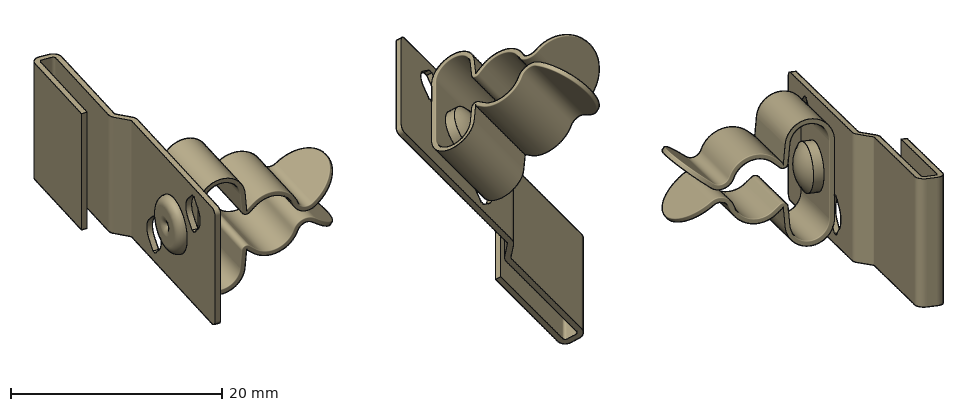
import cadquery as cq
import math


half_diagonal = math.sqrt(0.5)
same_point_distance = 3.2e-07

bracket_length = 32.0
bracket_height = 13.0
sheet_thickness = 0.6
inner_bend_radius = 0.3
outer_bend_radius = inner_bend_radius + sheet_thickness
hook_lip_end = 10.88
hook_depth = 2.8
jog_depth = 1.5
jog_start = 12.15
jog_end = 14.17
plate_corner_radius = 0.6

slot_radius = 1.55
slot_half_height = 1.95
slot_offset_x = 4.2
slot_offset_z = 3.52

clip_thickness = 0.5
clip_width = 8.0
clip_edge_radius = 0.1
loop_radius = 2.5
loop_centre_z = 3.95
pinch_y = 5.15
pinch_z = 2.25
grip_radius = 3.0
grip_centre_y = 7.77
grip_centre_z = 0.5
neck_radius = 1.0
neck_centre_z = 1.9
neck_centre_y = grip_centre_y + math.sqrt(
    (grip_radius + neck_radius) ** 2 - (neck_centre_z - grip_centre_z) ** 2
)
tab_end_y = 15.35
tab_end_z = 3.5

rivet_x = 23.1
shank_radius = 2.5
shank_end_y = 1.57
dome_height = 0.95
head_radius = 2.95
head_height = 0.9
dimple_radius = 1.02


def bent_sheet_profile(plane, bends, thickness):
    """Closed profile of a sheet that runs tangent from bend to bend.

    Each bend is (u, v, radius): its centre and the radius of the sheet's left face there. The radius is
    negative where the centre lies on the left of the sheet. Radius 0 is a sharp corner of the left face,
    and the first and last bends are the free ends of the left face.
    """
    normals = []
    for (u0, v0, r0), (u1, v1, r1) in zip(bends, bends[1:]):
        distance = math.hypot(u1 - u0, v1 - v0)
        heading = math.atan2(v1 - v0, u1 - u0)
        normals.append(heading + math.acos(min((r0 - r1) / distance, 1)))

    def face_arcs(inset):
        arcs = []
        for index, (u, v, radius) in enumerate(bends):
            angle_in = normals[max(index - 1, 0)]
            angle_out = normals[min(index, len(normals) - 1)]
            angles = (angle_in, (angle_in + angle_out) / 2, angle_out)
            reach = radius - inset
            arcs.append([(u + reach * math.cos(a), v + reach * math.sin(a)) for a in angles])
        return arcs

    left_face = face_arcs(0)
    right_face = [arc[::-1] for arc in reversed(face_arcs(thickness))]
    position = left_face[0][0]
    profile = cq.Workplane(plane).moveTo(*position)
    for start, middle, end in left_face[1:] + right_face:
        if math.dist(position, start) > same_point_distance:
            profile = profile.lineTo(*start)
        if math.dist(start, end) > same_point_distance:
            profile = profile.threePointArc(middle, end)
        position = end
    return profile.close()


def make_slot_cutter(x, z):
    """Cylinder with 45 degree tangent points above and below, cut off flat at the slot height."""
    tangent = slot_radius * half_diagonal
    tip_half_width = slot_radius / half_diagonal - slot_half_height
    plane = cq.Plane(origin=(x, 0, z), xDir=(1, 0, 0), normal=(0, -1, 0))
    return (
        cq.Workplane(plane)
        .moveTo(-tip_half_width, slot_half_height)
        .lineTo(tip_half_width, slot_half_height)
        .lineTo(tangent, tangent)
        .threePointArc((slot_radius, 0), (tangent, -tangent))
        .lineTo(tip_half_width, -slot_half_height)
        .lineTo(-tip_half_width, -slot_half_height)
        .lineTo(-tangent, -tangent)
        .threePointArc((-slot_radius, 0), (-tangent, tangent))
        .close()
        .extrude(sheet_thickness)
    )


def make_shank_cutter():
    """Hole for the rivet shank through the bracket plate and the clip."""
    return (
        cq.Workplane("XZ", origin=(rivet_x, -sheet_thickness, 0))
        .circle(shank_radius)
        .extrude(-(sheet_thickness + clip_thickness))
    )


def make_bracket():
    hook_front_y = -jog_depth - hook_depth
    bends = [
        (hook_lip_end, hook_front_y, 0),
        (outer_bend_radius, hook_front_y + outer_bend_radius, outer_bend_radius),
        (outer_bend_radius, -jog_depth - outer_bend_radius, outer_bend_radius),
        (jog_start, -jog_depth + inner_bend_radius, -inner_bend_radius),
        (jog_end, -outer_bend_radius, outer_bend_radius),
        (bracket_length, 0, 0),
    ]
    bracket = bent_sheet_profile("XY", bends, sheet_thickness).extrude(bracket_height / 2, both=True)
    bracket = bracket.faces(">X").edges("|Y").fillet(plate_corner_radius)
    for side in (-1, 1):
        bracket = bracket.cut(make_slot_cutter(rivet_x + side * slot_offset_x, side * slot_offset_z))
    return bracket.cut(make_shank_cutter())


def round_tab_end(half_clip):
    """Round the tab end to a half circle as wide as the clip, then round the strip's edges.

    The edge rounding starts at the half circle and runs along the tangent edges: to the pinch on the
    outer face and to the middle of the base on the inner face.
    """
    end_radius = clip_width / 2
    end_face = max(half_clip.faces().vals(), key=lambda face: face.Center().y)
    outward = end_face.normalAt()
    across = cq.Vector(1, 0, 0)
    plane = cq.Plane(
        origin=end_face.Center() - outward * end_radius,
        xDir=across,
        normal=across.cross(outward),
    )
    corner_cutter = (
        cq.Workplane(plane)
        .moveTo(-end_radius, 0)
        .threePointArc((0, end_radius), (end_radius, 0))
        .lineTo(clip_width, 0)
        .lineTo(clip_width, clip_width)
        .lineTo(-clip_width, clip_width)
        .lineTo(-clip_width, 0)
        .close()
        .extrude(clip_thickness, both=True)
    )
    rounded = half_clip.cut(corner_cutter)

    def is_end_arc(edge):
        return math.isclose(edge.radius(), end_radius)

    half_circles = [edge for edge in rounded.edges("%CIRCLE").vals() if is_end_arc(edge)]
    return rounded.newObject(half_circles).fillet(clip_edge_radius)


def make_clip():
    bends = [
        (0, 0, 0),
        (loop_radius, loop_centre_z, loop_radius),
        (pinch_y, pinch_z, 0),
        (grip_centre_y, grip_centre_z, grip_radius),
        (neck_centre_y, neck_centre_z, -neck_radius),
        (tab_end_y, tab_end_z, 0),
    ]
    half = bent_sheet_profile("YZ", bends, clip_thickness).extrude(clip_width / 2, both=True)
    half = round_tab_end(half).translate((rivet_x, 0, 0))
    clip = half.union(half.mirror("XY"))
    return clip.cut(make_shank_cutter())


def make_rivet():
    head_back_y = -sheet_thickness
    head_front_y = head_back_y - head_height
    dome_radius = (shank_radius**2 + dome_height**2) / (2 * dome_height)
    dome_tip_y = shank_end_y + dome_height
    dome_middle_angle = math.asin(shank_radius / dome_radius) / 2
    dome_middle = (
        dome_radius * math.sin(dome_middle_angle),
        dome_tip_y - dome_radius * (1 - math.cos(dome_middle_angle)),
    )
    rounding_middle = (
        head_radius - head_height * (1 - half_diagonal),
        head_back_y - head_height * half_diagonal,
    )
    dimple_inset = dimple_radius * (1 - half_diagonal)
    dimple_middle = (dimple_inset, head_front_y + dimple_inset)
    return (
        cq.Workplane("XY")
        .moveTo(0, head_front_y + dimple_radius)
        .threePointArc(dimple_middle, (dimple_radius, head_front_y))
        .lineTo(head_radius - head_height, head_front_y)
        .threePointArc(rounding_middle, (head_radius, head_back_y))
        .lineTo(shank_radius, head_back_y)
        .lineTo(shank_radius, shank_end_y)
        .threePointArc(dome_middle, (0, dome_tip_y))
        .close()
        .revolve(360, (0, 0, 0), (0, 1, 0))
        .translate((rivet_x, 0, 0))
    )


bracket = make_bracket()
clip = make_clip()
rivet = make_rivet()

result = cq.Compound.makeCompound([bracket.solids().val(), clip.solids().val(), rivet.val()])